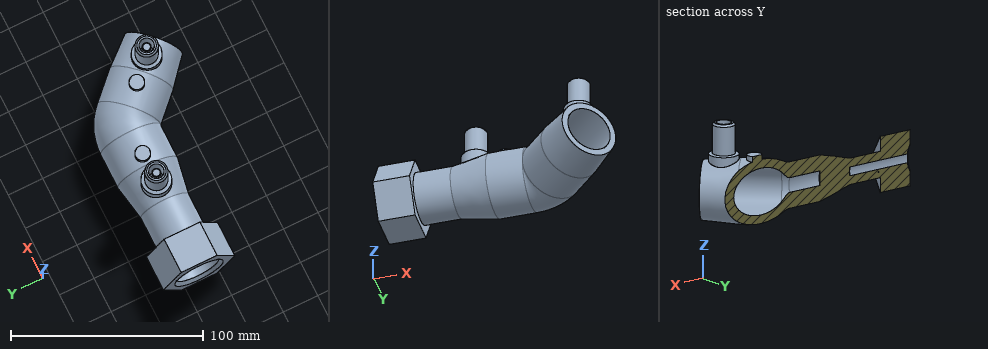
import cadquery as cq
import math

segment = 20.0
bend_angle = 45.0
neck_radius = 14.0
body_radius = 17.49
outlet_radius = 16.0
bend_radius = body_radius + 0.07

nut_across_flats = 36.0
nut_across_corners = nut_across_flats / math.cos(math.radians(30))

entry_radius = 14.0
thread_radius = 12.1
entry_depth = entry_radius - thread_radius
throat_radius = 8.0
throat_cone_length = 2.4
socket_radius = 12.5

outlet_terminal_setback = 11.1
pad_spacing = 16.0
boss_radius = 8.0
boss_top = 20.0
boss_cone_rise = 0.4
pad_radius = 4.1
shroud_radius = 6.1
shroud_top = 37.02
shroud_chamfer = 1.0
shroud_bore_radius = 4.0
shroud_bore_depth = 16.0
contact_radius = 2.4
contact_chamfer = 0.4
contact_recess = 2.9

neck_start = segment
taper_start = 2 * segment
taper_end = 3 * segment
bend_start = 4 * segment

turn = math.radians(bend_angle)
bend_end_x = bend_start + bend_radius * math.sin(turn)
bend_end_y = -bend_radius * (1 - math.cos(turn))
outlet_length = 2 * segment


def outlet_point(distance):
    """Point on the outlet axis at a distance from the end of the bend."""
    return (bend_end_x + distance * math.cos(turn), bend_end_y - distance * math.sin(turn))


def turned_about_x(profile):
    """Solid of revolution about X from (x, radius) points that start and end on the axis."""
    return cq.Workplane("XY").polyline(profile).close().revolve(360, (0, 0), (1, 0))


def on_outlet(solid):
    """Move a solid built along +X from the origin onto the outlet axis."""
    return solid.rotate((0, 0, 0), (0, 0, 1), -bend_angle).translate((bend_end_x, bend_end_y, 0))


def elbow(radius):
    """Round bar following the bend."""
    section = cq.Workplane("YZ", origin=(bend_start, 0, 0)).circle(radius)
    return section.revolve(bend_angle, (-bend_radius, 0), (-bend_radius, -1))


def pipe_outside():
    nut = cq.Workplane("YZ").polygon(6, nut_across_corners).extrude(segment)
    inlet = turned_about_x([
        (neck_start, 0),
        (neck_start, neck_radius),
        (taper_start, neck_radius),
        (taper_end, body_radius),
        (bend_start, body_radius),
        (bend_start, 0),
    ])
    outlet = turned_about_x([
        (0, 0),
        (0, body_radius),
        (segment, body_radius),
        (outlet_length, outlet_radius),
        (outlet_length, 0),
    ])
    return nut.union(inlet).union(elbow(body_radius)).union(on_outlet(outlet))


def pipe_bore():
    inlet = turned_about_x([
        (0, 0),
        (0, entry_radius),
        (entry_depth, thread_radius),
        (taper_start, thread_radius),
        (taper_start + throat_cone_length, throat_radius),
        (taper_end, throat_radius),
        (taper_end, socket_radius),
        (bend_start, socket_radius),
        (bend_start, 0),
    ])
    outlet = cq.Workplane("YZ").circle(socket_radius).extrude(outlet_length)
    return inlet.union(elbow(socket_radius)).union(on_outlet(outlet))


def terminal():
    """Boss with a hollow shroud around a contact pin, standing on the Z axis."""
    contact_top = shroud_top - contact_recess
    shroud_floor = shroud_top - shroud_bore_depth
    profile = [
        (0, 0),
        (boss_radius, 0),
        (boss_radius, boss_top),
        (shroud_radius, boss_top + boss_cone_rise),
        (shroud_radius, shroud_top - shroud_chamfer),
        (shroud_radius - shroud_chamfer, shroud_top),
        (shroud_bore_radius, shroud_top),
        (shroud_bore_radius, shroud_floor),
        (contact_radius, shroud_floor),
        (contact_radius, contact_top - contact_chamfer),
        (contact_radius - contact_chamfer, contact_top),
        (0, contact_top),
    ]
    return cq.Workplane("XZ").polyline(profile).close().revolve(360, (0, 0), (0, 1))


def pad():
    return cq.Workplane("XY").circle(pad_radius).extrude(boss_top)


inlet_terminal_x = (taper_start + taper_end) / 2
outlet_terminal_distance = outlet_length - outlet_terminal_setback

terminal_places = [(inlet_terminal_x, 0), outlet_point(outlet_terminal_distance)]
pad_places = [
    (inlet_terminal_x + pad_spacing, 0),
    outlet_point(outlet_terminal_distance - pad_spacing),
]

result = pipe_outside()
for x, y in terminal_places:
    result = result.union(terminal().translate((x, y, 0)))
for x, y in pad_places:
    result = result.union(pad().translate((x, y, 0)))
result = result.cut(pipe_bore())